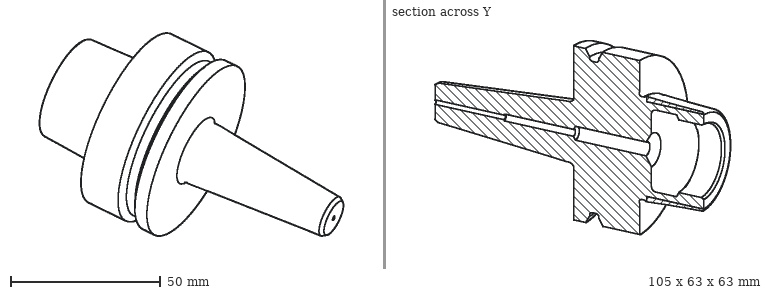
import cadquery as cq
import math


sleeve_length = 22.5
taper_large_radius = 19.1
taper_slope = 0.05
nose_fillet = 1.0

bore_radius = 13.0
bore_chamfer_height = 0.5
bore_chamfer_length = 1.0
lip_length = 9.9
relief_radius = 14.7
relief_shoulder_angle = 60.0
relief_floor_start = 18.9
relief_floor_fillet = 1.6

neck_radius = 18.7
neck_start = 23.4
neck_fillet_start = 24.4
neck_fillet = 0.8
recess_radius = 21.0

flange_radius = 31.5
flange_front = 25.0
flange_back = 50.9
groove_start = 39.6
groove_mouth_width = 6.6
groove_throat_width = 3.4
groove_throat_radius = 28.8
groove_bottom_radius = 27.4
groove_fillet = 0.9

total_length = 105.0
shank_radius = 11.0
shank_root_length = 2.0
shank_root_height = 1.3
shank_land_end = 54.1
shank_tip_radius = 7.2
tip_bevel_length = 1.4
tip_bevel_height = 0.9

drill_half_angle = 59.0
funnel_radius = 6.0
feed_radius = 2.4
passage_radius = 1.2
outlet_radius = 0.7

nose_radius = taper_large_radius - taper_slope * (sleeve_length - nose_fillet)
core_radius = nose_radius - nose_fillet
bore_floor = relief_floor_start + relief_floor_fillet
groove_center = groove_start + groove_mouth_width / 2
diagonal = math.sqrt(0.5)


def cone_length(radius_change, half_angle):
    """Axial length over which a cone changes its radius by radius_change."""
    return radius_change / math.tan(math.radians(half_angle))


def fillet_arc(profile, center, radius, axial_side, radial_side, end):
    """Quarter-circle arc about center, bulging to the given (+1 / -1) sides."""
    middle = (center[0] + axial_side * radius * diagonal, center[1] + radial_side * radius * diagonal)
    return profile.threePointArc(middle, end)


def turn(profile):
    """Close a half profile and revolve it about X."""
    return profile.close().revolve(360, (0, 0, 0), (1, 0, 0))


def make_sleeve():
    """Tapered ring seated on the cylindrical front of the holder."""
    profile = cq.Workplane("XY").moveTo(0, core_radius)
    nose_center = (nose_fillet, core_radius)
    profile = fillet_arc(profile, nose_center, nose_fillet, -1, 1, (nose_fillet, nose_radius))
    profile = profile.lineTo(sleeve_length, taper_large_radius).lineTo(sleeve_length, core_radius)
    return turn(profile)


def add_neck(profile):
    """Core, sleeve seat, neck and the shallow recess in the flange face."""
    fillet_end = (neck_fillet_start + neck_fillet, neck_radius + neck_fillet)
    fillet_center = (neck_fillet_start, neck_radius + neck_fillet)
    profile = (
        profile.lineTo(0, core_radius)
        .lineTo(sleeve_length, core_radius)
        .lineTo(sleeve_length, taper_large_radius)
        .lineTo(neck_start, neck_radius)
        .lineTo(neck_fillet_start, neck_radius)
    )
    profile = fillet_arc(profile, fillet_center, neck_fillet, 1, -1, fillet_end)
    return profile.lineTo(flange_front, recess_radius)


def add_flange(profile):
    """Flange rim with a V groove that has a filleted flat bottom."""
    groove_end = groove_start + groove_mouth_width
    throat_left = groove_center - groove_throat_width / 2
    throat_right = groove_center + groove_throat_width / 2
    bottom_left = throat_left + groove_fillet
    bottom_right = throat_right - groove_fillet
    fillet_top = groove_bottom_radius + groove_fillet
    profile = (
        profile.lineTo(flange_front, flange_radius)
        .lineTo(groove_start, flange_radius)
        .lineTo(throat_left, groove_throat_radius)
        .lineTo(throat_left, fillet_top)
    )
    profile = fillet_arc(
        profile, (bottom_left, fillet_top), groove_fillet, -1, -1, (bottom_left, groove_bottom_radius)
    )
    profile = profile.lineTo(bottom_right, groove_bottom_radius)
    profile = fillet_arc(
        profile, (bottom_right, fillet_top), groove_fillet, 1, -1, (throat_right, fillet_top)
    )
    return (
        profile.lineTo(throat_right, groove_throat_radius)
        .lineTo(groove_end, flange_radius)
        .lineTo(flange_back, flange_radius)
    )


def add_shank(profile):
    """Concave root, short cylindrical land, slim taper and bevelled tip."""
    root_end = flange_back + shank_root_length
    root_arc = (shank_root_length**2 + shank_root_height**2) / (2 * shank_root_height)
    half_run = shank_root_length / 2
    root_middle_radius = shank_radius + root_arc - math.sqrt(root_arc**2 - half_run**2)
    return (
        profile.lineTo(flange_back, shank_radius + shank_root_height)
        .threePointArc((root_end - half_run, root_middle_radius), (root_end, shank_radius))
        .lineTo(shank_land_end, shank_radius)
        .lineTo(total_length - tip_bevel_length, shank_tip_radius)
        .lineTo(total_length, shank_tip_radius - tip_bevel_height)
    )


def add_coolant_passage(profile):
    """Narrow outlet at the tip, wider passage, feed hole with a drill point, and funnel."""
    feed_start = bore_floor + cone_length(funnel_radius - feed_radius, drill_half_angle)
    feed_end = flange_back
    outlet_start = (feed_end + total_length) / 2
    feed_point = feed_end - cone_length(feed_radius - passage_radius, drill_half_angle)
    return (
        profile.lineTo(total_length, outlet_radius)
        .lineTo(outlet_start, outlet_radius)
        .lineTo(outlet_start, passage_radius)
        .lineTo(feed_end, passage_radius)
        .lineTo(feed_point, feed_radius)
        .lineTo(feed_start, feed_radius)
        .lineTo(bore_floor, funnel_radius)
    )


def add_bore(profile):
    """Filleted floor, wide relief, shoulder, plain lip and entry chamfer."""
    floor_edge = relief_radius - relief_floor_fillet
    shoulder_end = lip_length + cone_length(relief_radius - bore_radius, relief_shoulder_angle)
    profile = profile.lineTo(bore_floor, floor_edge)
    profile = fillet_arc(
        profile,
        (relief_floor_start, floor_edge),
        relief_floor_fillet,
        1,
        1,
        (relief_floor_start, relief_radius),
    )
    return (
        profile.lineTo(shoulder_end, relief_radius)
        .lineTo(lip_length, bore_radius)
        .lineTo(bore_chamfer_length, bore_radius)
    )


def make_holder():
    """Core, flange and shank in one piece, hollowed by the bore and passage."""
    profile = cq.Workplane("XY").moveTo(0, bore_radius + bore_chamfer_height)
    for add_stretch in (add_neck, add_flange, add_shank, add_coolant_passage, add_bore):
        profile = add_stretch(profile)
    return turn(profile)


sleeve = make_sleeve()
holder = make_holder()

result = cq.Compound.makeCompound([sleeve.val(), holder.val()])